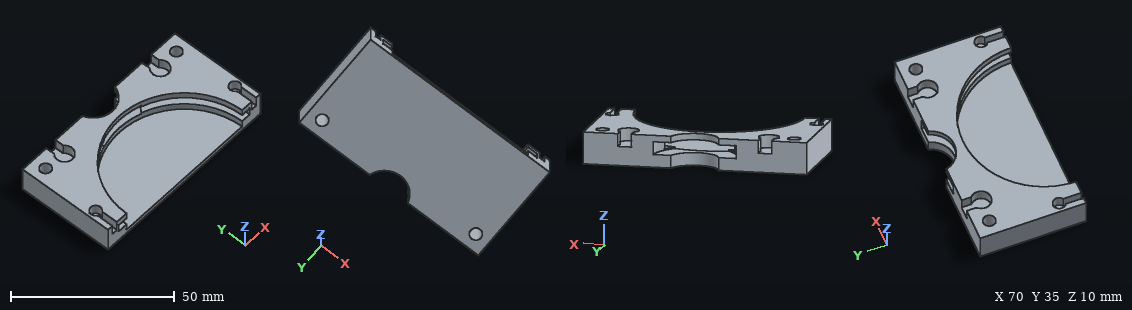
import cadquery as cq

LENGTH = 70.0
DEPTH = 35.0
HEIGHT = 10.0

CHAMBER_RADIUS = 26.5
CHAMBER_FLOOR = 1.8
GROOVE_RADIUS = 30.1
GROOVE_BOTTOM = 4.5
GROOVE_TOP = 7.55

NOTCH_CENTRE_Y = DEPTH + 2.2
NOTCH_RADIUS = 7.8
SLOT_RADIUS = 12.95
SLOT_HEIGHT = 4.0
SLOT_BOTTOM = (GROOVE_BOTTOM + GROOVE_TOP - SLOT_HEIGHT) / 2

HOLE_DIAMETER = 4.0
HOLE_X = 30.0
HOLE_INSET = 5.05

KEYHOLE_DEPTH = 4.0
FRONT_KEY_X = 32.0
FRONT_KEY_INSET = 7.8
FRONT_KEY_DIAMETER = 4.0
FRONT_KEY_NECK = 2.0
REAR_KEY_X = 22.0
REAR_KEY_INSET = 5.6
REAR_KEY_DIAMETER = 6.4
REAR_KEY_NECK = 4.2


def disc(x, y, radius, bottom, top):
    """Vertical cylinder between two heights."""
    return cq.Workplane("XY", origin=(x, y, bottom)).circle(radius).extrude(top - bottom)


def keyhole(x, y, diameter, neck_width, face_y):
    """Round pocket joined by a straight neck to the face at face_y."""
    bottom = HEIGHT - KEYHOLE_DEPTH
    neck = (
        cq.Workplane("XY", origin=(x, (y + face_y) / 2, bottom))
        .rect(neck_width, abs(face_y - y))
        .extrude(KEYHOLE_DEPTH)
    )
    return disc(x, y, diameter / 2, bottom, HEIGHT).union(neck)


body = cq.Workplane("XY").box(LENGTH, DEPTH, HEIGHT, centered=(True, False, False))

body = body.cut(disc(0, 0, CHAMBER_RADIUS, CHAMBER_FLOOR, HEIGHT))
body = body.cut(disc(0, 0, GROOVE_RADIUS, GROOVE_BOTTOM, GROOVE_TOP))

body = body.cut(disc(0, NOTCH_CENTRE_Y, NOTCH_RADIUS, 0, HEIGHT))
body = body.cut(disc(0, DEPTH, SLOT_RADIUS, SLOT_BOTTOM, SLOT_BOTTOM + SLOT_HEIGHT))

for side in (-1, 1):
    body = body.cut(disc(side * HOLE_X, DEPTH - HOLE_INSET, HOLE_DIAMETER / 2, 0, HEIGHT))
    body = body.cut(
        keyhole(side * FRONT_KEY_X, FRONT_KEY_INSET, FRONT_KEY_DIAMETER, FRONT_KEY_NECK, 0)
    )
    body = body.cut(
        keyhole(side * REAR_KEY_X, DEPTH - REAR_KEY_INSET, REAR_KEY_DIAMETER, REAR_KEY_NECK, DEPTH)
    )

result = body